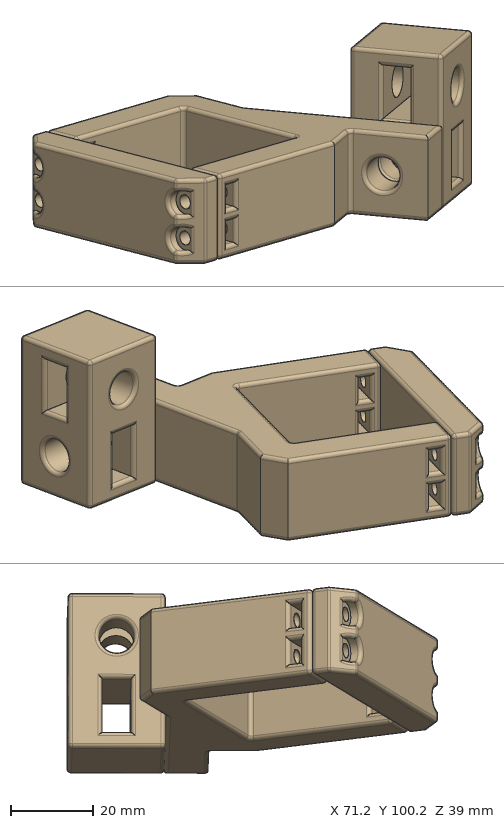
import cadquery as cq
import math

edge_radius = 1.0
wall = 9.9
opening = 37.9
clamp_gap = 0.1
corner_chamfer = 5.2
thickness = 21.5

arm_angle = 25.0
arm_start = 20.9
arm_length = 50.6
arm_depth = 10.6
neck_offset = 30.4

block_side = 23.6
block_height = 39.0
bolt_diameter = 8.5
bolt_level = thickness / 2
nut_width = 13.4
nut_thickness = 7.0

screw_diameter = 3.5
screw_inset = 4.7
screw_spacing = 9.1
screw_depth = 17.1
screw_tip_radius = 1.0
screw_nut_width = 6.0
screw_nut_thickness = 3.0
screw_nut_place = 14.4
head_diameter = 6.0
head_depth = 2.9

contact_gap = 0.001

width = opening + 2 * wall
leg_end = wall + clamp_gap
depth = leg_end + opening + wall
screw_places = [
    (x, thickness / 2 + side * screw_spacing / 2)
    for x in (screw_inset, width - screw_inset)
    for side in (-1, 1)
]


def arm_point(along, across):
    """Point given along the arm's back face and square to it, away from the frame."""
    angle = math.radians(arm_angle)
    x = arm_start + along * math.cos(angle) - across * math.sin(angle)
    y = depth + along * math.sin(angle) + across * math.cos(angle)
    return (x, y)


def placed_on_arm(body):
    """Moves a body from the arm's own axes to its tilted place on the frame."""
    return body.rotate((0, 0, 0), (0, 0, 1), arm_angle).translate((arm_start, depth, 0))


def round_rims(body, faces):
    """Rounds the rims of all the openings in the given faces."""
    rims = [edge for face in faces for wire in face.innerWires() for edge in wire.Edges()]
    return body.newObject(rims).fillet(edge_radius)


def box_at(size_x, size_y, size_z, center):
    return cq.Workplane("XY").box(size_x, size_y, size_z).translate(center)


def rod_along_y(diameter, x, z, start, end):
    """Round rod from Y = start to Y = end."""
    plane = cq.Plane(origin=(x, start, z), xDir=(1, 0, 0), normal=(0, 1, 0))
    return cq.Workplane(plane).circle(diameter / 2).extrude(end - start)


def screw_hole(x, z):
    """Blind screw hole with a rounded bottom."""
    return rod_along_y(screw_diameter, x, z, 0, screw_depth).faces(">Y").edges().fillet(screw_tip_radius)


def make_frame():
    """U-shaped frame with a tilted arm on its back."""
    angle = math.radians(arm_angle)
    neck_across = (arm_start + neck_offset * math.cos(angle) - width) / math.sin(angle)
    outline = [
        (0, leg_end),
        (wall, leg_end),
        (wall, depth - wall),
        (width - wall, depth - wall),
        (width - wall, leg_end),
        (width, leg_end),
        arm_point(neck_offset, neck_across),
        arm_point(neck_offset, -arm_depth),
        arm_point(arm_length, -arm_depth),
        arm_point(arm_length, 0),
        arm_point(0, 0),
        (corner_chamfer, depth),
        (0, depth - corner_chamfer),
    ]
    inner_corners = [outline[2], outline[3], outline[7], outline[10]]
    frame = cq.Workplane("XY").polyline(outline).close().extrude(thickness)
    for x, y in inner_corners:
        frame = frame.edges(cq.NearestToPointSelector((x, y, thickness / 2))).fillet(edge_radius)
    frame = frame.faces("<Z or >Z or <Y").edges().fillet(edge_radius)
    return frame


def cut_frame_holes(frame):
    """Cuts the screw nut slots, the bolt hole through the arm and the screw holes."""
    for x, z in screw_places:
        slot = box_at(2 * wall, screw_nut_thickness, screw_nut_width, (x, screw_nut_place, z))
        frame = frame.cut(slot)
    bolt_along = arm_length - block_side / 2
    bolt = rod_along_y(bolt_diameter, bolt_along, bolt_level, -2 * arm_depth, arm_depth)
    frame = frame.cut(placed_on_arm(bolt))
    frame = round_rims(frame, frame.faces("%PLANE").vals())
    for x, z in screw_places:
        frame = frame.cut(screw_hole(x, z))
    return frame


def cut_with_rounded_mouth(body, cutter):
    """Cuts a pocket and rounds the edges where it breaks through the body's outside."""
    skin = body.val().Shells()[0]
    cut_body = body.cut(cutter)

    def is_mouth_edge(edge):
        middle = cq.Vertex.makeVertex(*edge.positionAt(0.5).toTuple())
        return max(middle.distance(skin), middle.distance(cutter.val())) < contact_gap

    mouth = [edge for edge in cut_body.edges().vals() if is_mouth_edge(edge)]
    return cut_body.newObject(mouth).fillet(edge_radius)


def make_clamp_bar():
    """Bar that closes the frame, with recessed screw heads in its bevelled corners."""
    outline = [
        (corner_chamfer, 0),
        (width - corner_chamfer, 0),
        (width, corner_chamfer),
        (width, wall),
        (0, wall),
        (0, corner_chamfer),
    ]
    bar = cq.Workplane("XY").polyline(outline).close().extrude(thickness)
    bar = bar.edges().fillet(edge_radius)
    for x, z in screw_places:
        bar = cut_with_rounded_mouth(bar, rod_along_y(head_diameter, x, z, 0, head_depth))
        bar = bar.cut(screw_hole(x, z))
    return bar


def make_block():
    """Block behind the arm with two crossed bolt holes and their nut slots."""
    middle = block_side / 2
    upper_level = block_height - bolt_level
    through = 2 * block_side
    block = cq.Workplane("XY").box(block_side, block_side, block_height, centered=False)
    block = block.edges().fillet(edge_radius)

    lower_bolt = rod_along_y(bolt_diameter, middle, bolt_level, -block_side, through)
    lower_slot = box_at(through, nut_thickness, nut_width, (middle, middle, bolt_level))
    quarter_turn = ((middle, middle, 0), (middle, middle, 1), 90)
    rise = (0, 0, upper_level - bolt_level)
    for cutter in (lower_bolt, lower_slot):
        block = block.cut(cutter)
        block = block.cut(cutter.rotate(*quarter_turn).translate(rise))

    block = round_rims(block, block.faces("<X or >X or <Y or >Y").vals())
    return placed_on_arm(block.translate((arm_length - block_side, 0, 0)))


frame = cut_frame_holes(make_frame())
clamp_bar = make_clamp_bar()
block = make_block()

result = cq.Compound.makeCompound([frame.val(), clamp_bar.val(), block.val()])